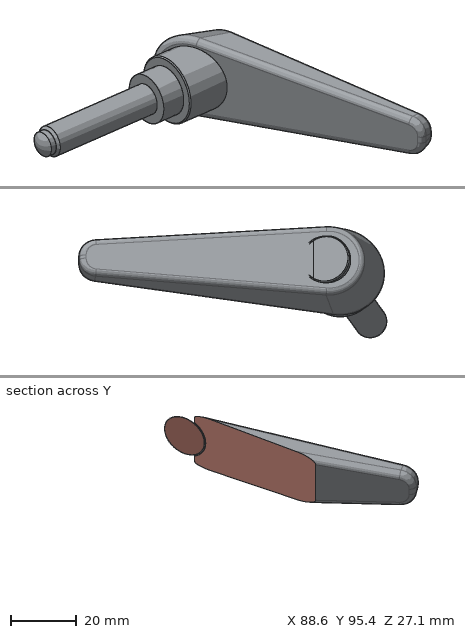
import cadquery as cq
import math


hub_end_radius = 16.4
draft_angle = 12.5
side_angle = 1.2
bottom_height = 10.9
bottom_slope = 20.3
top_height = 27.0
top_slope = 13.4
tip_x = 74.5
tip_lean = 17.0
tip_round = 5.25
rim_fillet = 1.9
arm_blank_height = 47.7
arm_blank_length = 95.5

hub_radius = 11.0
hub_top = 16.2
hub_chamfer = 0.4

core_radius = 7.35
core_top = 27.9
core_chamfer = 0.4
collar_radius = 8.0
collar_length = 8.0
shaft_radius = 5.0
shaft_end = -47.9
shaft_chamfer = 0.9
nose_radius = 4.0
nose_end = -49.8
dome_height = 1.6


def tangent(degrees):
    return math.tan(math.radians(degrees))


def arm_blank():
    """Drafted prism: a round end with two slightly converging sides."""
    side = math.radians(side_angle)
    tangent_x = hub_end_radius * math.sin(side)
    tangent_z = hub_end_radius * math.cos(side)
    far_z = tangent_z - (arm_blank_length - tangent_x) * math.tan(side)
    base = cq.Plane(origin=(0, 0, 0), xDir=(1, 0, 0), normal=(0, 1, 0))
    return (
        cq.Workplane(base)
        .moveTo(tangent_x, tangent_z)
        .threePointArc((-hub_end_radius, 0), (tangent_x, -tangent_z))
        .lineTo(arm_blank_length, -far_z)
        .lineTo(arm_blank_length, far_z)
        .close()
        .extrude(arm_blank_height, taper=draft_angle)
    )


def arm_profile():
    """Slab bounded by the sloping lower and upper faces and the leaning tip face."""
    def bottom_y(x):
        return bottom_height + x * tangent(bottom_slope)

    def top_y(x):
        return top_height + x * tangent(top_slope)

    left_x = -2 * hub_end_radius
    tip_bottom_y = bottom_y(tip_x)
    rise = (top_y(tip_x) - tip_bottom_y) / (1 + tangent(top_slope) * tangent(tip_lean))
    tip_top_x = tip_x - rise * tangent(tip_lean)
    return (
        cq.Workplane("XY")
        .moveTo(left_x, bottom_y(left_x))
        .lineTo(tip_x, tip_bottom_y)
        .lineTo(tip_top_x, tip_bottom_y + rise)
        .lineTo(left_x, top_y(left_x))
        .close()
        .extrude(2 * hub_end_radius, both=True)
    )


def make_arm():
    """Drafted lever arm with a rounded tip and filleted rims."""
    arm = arm_blank().intersect(arm_profile())
    tip_corners = arm.faces(">X").edges("not #Z").edges("not |Z")
    arm = tip_corners.fillet(tip_round)
    top_normal = cq.Vector(-tangent(top_slope), 1, 0)
    bottom_normal = cq.Vector(tangent(bottom_slope), -1, 0)
    rims = arm.faces(cq.selectors.ParallelDirSelector(top_normal)).edges()
    rims.add(arm.faces(cq.selectors.ParallelDirSelector(bottom_normal)).edges())
    return rims.fillet(rim_fillet)


def cylinder(radius, height):
    """Cylinder on the pivot axis, rising from y = 0."""
    base = cq.Plane(origin=(0, 0, 0), xDir=(1, 0, 0), normal=(0, 1, 0))
    return cq.Workplane(base).circle(radius).extrude(height)


def make_handle():
    """Arm and hub in one piece, bored through for the stud's core."""
    hub = cylinder(hub_radius, hub_top).faces("<Y").chamfer(hub_chamfer)
    bore = cylinder(core_radius, core_top)
    return make_arm().union(hub).cut(bore)


def make_stud():
    """Turned stud: core in the handle, collar, shaft and domed nose."""
    dome_radius = (nose_radius**2 + dome_height**2) / (2 * dome_height)
    dome_center_y = nose_end - dome_height + dome_radius
    dome_mid_x = nose_radius / 2
    dome_mid_y = dome_center_y - math.sqrt(dome_radius**2 - dome_mid_x**2)
    return (
        cq.Workplane("XY")
        .moveTo(0, core_top)
        .lineTo(core_radius - core_chamfer, core_top)
        .lineTo(core_radius, core_top - core_chamfer)
        .lineTo(core_radius, 0)
        .lineTo(collar_radius, 0)
        .lineTo(collar_radius, -collar_length)
        .lineTo(shaft_radius, -collar_length)
        .lineTo(shaft_radius, shaft_end + shaft_chamfer)
        .lineTo(shaft_radius - shaft_chamfer, shaft_end)
        .lineTo(nose_radius, shaft_end)
        .lineTo(nose_radius, nose_end)
        .threePointArc((dome_mid_x, dome_mid_y), (0, nose_end - dome_height))
        .close()
        .revolve(360, (0, 0, 0), (0, 1, 0))
    )


handle = make_handle()
stud = make_stud()
result = cq.Compound.makeCompound([handle.solids().val(), stud.val()])